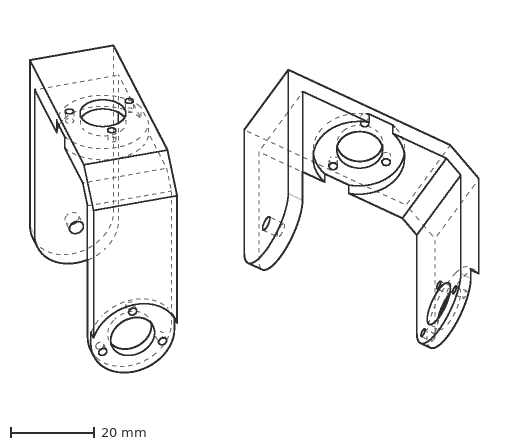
import cadquery as cq

length = 53.0
width = 21.0
height = 59.5

left_leg_thickness = 4.0
right_leg_thickness = 5.0
top_thickness = 6.0
outer_chamfer = 8.0
inner_chamfer = 4.0

end_radius = width / 2
pivot_height = end_radius
pivot_hole_diameter = 3.5

seat_diameter = 22.0
opening_diameter = 11.0
screw_hole_diameter = 2.0
lone_screw_offset = 7.35
paired_screw_offset = 3.0
paired_screw_spacing = 15.0
top_seat_x = 26.0
top_seat_floor = 2.7
top_pocket_shift = -0.25
leg_seat_floor = 2.8


def bracket_body():
    """Extruded U profile, trimmed so both legs end in a half round."""
    inner_right = length - right_leg_thickness
    inner_top = height - top_thickness
    profile = [
        (0, 0),
        (0, height),
        (length - outer_chamfer, height),
        (length, height - outer_chamfer),
        (length, 0),
        (inner_right, 0),
        (inner_right, inner_top - inner_chamfer),
        (inner_right - inner_chamfer, inner_top),
        (left_leg_thickness, inner_top),
        (left_leg_thickness, 0),
    ]
    body = cq.Workplane("XZ").polyline(profile).close().extrude(width / 2, both=True)
    leg_outline = (
        cq.Workplane("YZ")
        .moveTo(-end_radius, height)
        .lineTo(-end_radius, pivot_height)
        .threePointArc((0, pivot_height - end_radius), (end_radius, pivot_height))
        .lineTo(end_radius, height)
        .close()
        .extrude(length)
    )
    return body.intersect(leg_outline)


def motor_seat_cutter(plane, wall_thickness, floor_thickness, pocket_shift=0):
    """Tool for one motor seat; the plane lies on the pocketed face and points into the wall."""
    pocket = (
        cq.Workplane(plane)
        .center(pocket_shift, 0)
        .circle(seat_diameter / 2)
        .extrude(wall_thickness - floor_thickness)
    )
    opening = cq.Workplane(plane).circle(opening_diameter / 2).extrude(wall_thickness)
    screw_points = [
        (lone_screw_offset, 0),
        (-paired_screw_offset, paired_screw_spacing / 2),
        (-paired_screw_offset, -paired_screw_spacing / 2),
    ]
    screw_holes = (
        cq.Workplane(plane)
        .pushPoints(screw_points)
        .circle(screw_hole_diameter / 2)
        .extrude(wall_thickness)
    )
    return pocket.union(opening).union(screw_holes)


def top_seat():
    """Motor seat pocketed into the underside of the top wall, lone screw hole toward +X."""
    plane = cq.Plane(
        origin=(top_seat_x, 0, height - top_thickness), xDir=(1, 0, 0), normal=(0, 0, 1)
    )
    return motor_seat_cutter(plane, top_thickness, top_seat_floor, top_pocket_shift)


def right_leg_seat():
    """Motor seat pocketed into the outer face of the right leg, lone screw hole upward."""
    plane = cq.Plane(origin=(length, 0, pivot_height), xDir=(0, 0, 1), normal=(-1, 0, 0))
    return motor_seat_cutter(plane, right_leg_thickness, leg_seat_floor)


def pivot_hole():
    """Hole through the left leg on the pivot axis."""
    return (
        cq.Workplane("YZ")
        .center(0, pivot_height)
        .circle(pivot_hole_diameter / 2)
        .extrude(left_leg_thickness)
    )


result = bracket_body().cut(top_seat()).cut(right_leg_seat()).cut(pivot_hole())